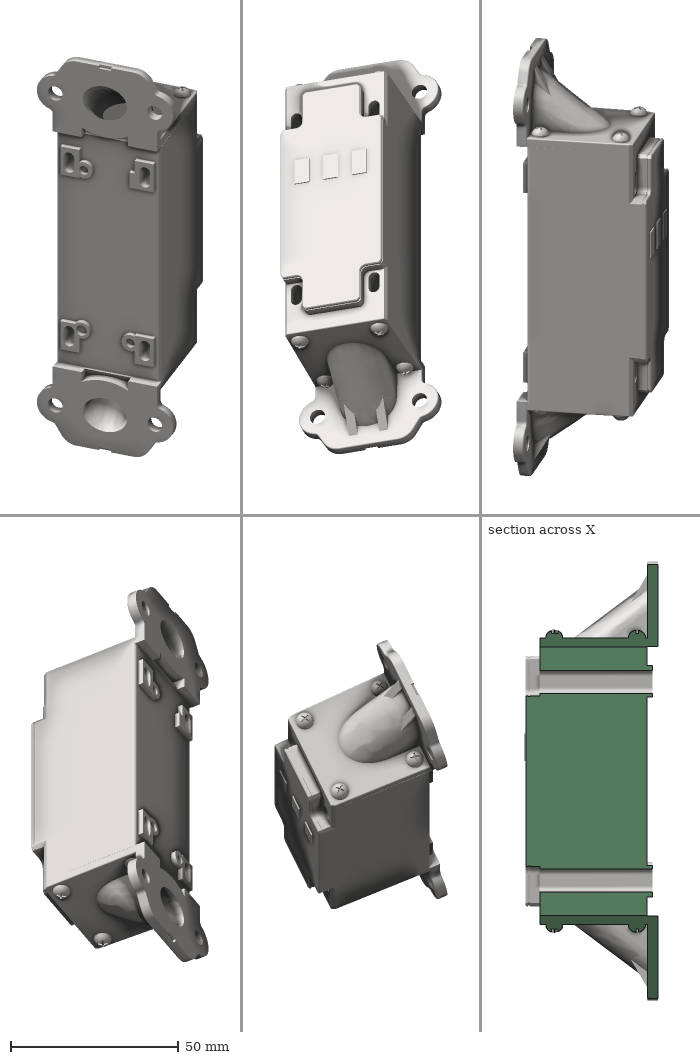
import cadquery as cq
import math

overall_length = 131.3
case_half_length = 40.2
cap_plate_thickness = 2.8
flange_thickness = 3.2
flange_end = overall_length / 2
cap_face = case_half_length + cap_plate_thickness

back_half_width = 16.8
front_half_width = 15.9
back_edge_radius = 0.9
shelf_y = 35.3
front_y = 39.5
draft_per_depth = (back_half_width - front_half_width) / (front_y - flange_thickness)
bevel_width = 0.7
bevel_depth = 1.2

wide_front_half_length = 24.4
narrow_front_half_length = 37.4
narrow_front_half_width = 9.0
narrow_corner_chamfer = 0.9
front_root_radius = 2.0
front_edge_chamfer = 0.3
seam_y = 38.2
seam_width = 0.5
seam_depth = 0.2

label_width = 4.6
label_length = 8.1
label_height = 0.4
label_pitch = 9.0
label_z = 10.1

pad_height = 1.6
pad_outer_x = 15.0
pad_inner_x = 8.9
pad_inner_z = 25.1
pad_outer_z = 34.7
slot_x = 12.2
slot_z = 29.7
slot_length = 6.8
slot_width = 3.4
boss_radius = 2.8
pad_step_x = 7.2
pad_step_z = 30.3
pad_bosses = [(-7.5, 28.0, 1.5), (-8.3, -26.9, 1.7), (7.5, -28.0, 1.5)]

ear_x = 16.0
ear_z = 53.3
ear_radius = 5.9
ear_hole_radius = 2.4
shoulder_z = 58.5
flange_top_half_width = 12.3
shoulder_radius = 5.6
ear_root_radius = 1.6
end_notch_width = 4.0
end_notch_size = 0.9
cap_edge_radius = 0.4

relief_half_width = 7.5
relief_side_z = 43.5
relief_middle_z = 41.6
relief_ramp_start_y = 2.4
relief_ramp_end_y = 4.0

hood_half_width = 8.9
hood_foot_half_width = 9.3
hood_arch_height = 11.2
hood_slope = 0.75
hood_axis_z = 53.3
bore_half_width = 7.1
bore_half_height = 5.6
rib_inner_x = 3.4
rib_outer_x = 6.2
rib_foot_z = 61.7
rib_slope = 1.7
rib_depth = 6.3

screw_radius = 2.6
screw_rim_height = 0.5
screw_head_height = 2.4
recess_length = 2.9
recess_width = 0.5
recess_depth = 1.0
cap_screws = [(-12.5, 31.0, 40), (12.5, 31.0, 25), (-12.5, 6.3, 80), (12.5, 6.3, 30)]

pick_margin = 0.3


def half_width_at(y):
    """Half-width of the drafted case at depth y."""
    return back_half_width - draft_per_depth * (y - flange_thickness)


def box_between(x0, x1, y0, y1, z0, z1):
    return cq.Workplane("XY").box(x1 - x0, y1 - y0, z1 - z0, centered=False).translate((x0, y0, z0))


def symmetric_prism(quarter, y0, y1):
    """Prism along Y whose XZ outline mirrors the +X +Z quarter's points into all four quarters."""
    upper = quarter + [(-x, z) for x, z in reversed(quarter)]
    lower = [(x, -z) for x, z in reversed(upper)]
    return cq.Workplane("XZ", origin=(0, y0, 0)).polyline(upper + lower).close().extrude(y0 - y1)


def shelf_section(back_points):
    """Closed XY section up to the shelf, with the bevelled front corners."""
    bevel_y = shelf_y - bevel_depth
    right = back_points + [
        (half_width_at(bevel_y), bevel_y),
        (half_width_at(bevel_y) - bevel_width, shelf_y),
    ]
    left = [(-x, y) for x, y in reversed(right)]
    return right + left


def housing_core():
    section = cq.Workplane("XY").polyline(shelf_section([(back_half_width, flange_thickness)])).close()
    core = section.extrude(case_half_length, both=True)
    return core.edges("|Z").edges("<Y").fillet(back_edge_radius)


def front_layer(y0, y1, inset=0.0):
    """Slab of the raised front from y0 to y1, shrunk by inset on every side."""
    bevel_z = wide_front_half_length + bevel_depth - inset
    overhang = back_half_width - front_half_width
    wide_quarter = [
        (back_half_width, wide_front_half_length - inset - overhang * bevel_depth / bevel_width),
        (front_half_width - bevel_width, bevel_z),
    ]
    narrow_x = narrow_front_half_width - inset
    narrow_end = narrow_front_half_length - inset
    narrow_quarter = [
        (narrow_x, narrow_end - narrow_corner_chamfer),
        (narrow_x - narrow_corner_chamfer, narrow_end),
    ]
    plan = symmetric_prism(wide_quarter, y0, y1).union(symmetric_prism(narrow_quarter, y0, y1))
    root = cq.selectors.BoxSelector(
        (-narrow_x - pick_margin, y0 - pick_margin, -bevel_z - pick_margin),
        (narrow_x + pick_margin, y1 + pick_margin, bevel_z + pick_margin),
    )
    plan = plan.edges("|Y").edges(root).fillet(front_root_radius)

    x0 = half_width_at(y0) - inset
    x1 = half_width_at(y1) - inset
    drafted = cq.Workplane("XY").polyline([(x0, y0), (x1, y1), (-x1, y1), (-x0, y0)]).close()
    return plan.intersect(drafted.extrude(narrow_front_half_length, both=True))


def raised_front():
    seam_end = seam_y + seam_width
    base = front_layer(shelf_y - bevel_depth, seam_y)
    seam = front_layer(seam_y, seam_end, seam_depth)
    lid = front_layer(seam_end, front_y).faces(">Y").edges().chamfer(front_edge_chamfer)
    return base.union(seam).union(lid)


def labels():
    spots = [(i * label_pitch, label_z) for i in (-1, 0, 1)]
    plates = cq.Workplane("XZ").pushPoints(spots).rect(label_width, label_length)
    return plates.extrude(-label_height).translate((0, front_y, 0))


def mounting_pads():
    back = flange_thickness - pad_height
    front = flange_thickness + back_edge_radius
    pads = box_between(pad_step_x, pad_outer_x, back, front, pad_inner_z, pad_step_z)
    for side in (-1, 1):
        x0, x1 = sorted((side * pad_inner_x, side * pad_outer_x))
        for end in (-1, 1):
            z0, z1 = sorted((end * pad_inner_z, end * pad_outer_z))
            pads = pads.union(box_between(x0, x1, back, front, z0, z1))
    for x, z, _ in pad_bosses:
        boss = cq.Workplane("XZ").center(x, z).circle(boss_radius).extrude(-(front - back))
        pads = pads.union(boss.translate((0, back, 0)))
    return pads


def mounting_slots():
    spots = [(i * slot_x, j * slot_z) for i in (-1, 1) for j in (-1, 1)]
    return cq.Workplane("XZ").pushPoints(spots).slot2D(slot_length, slot_width, 90).extrude(-front_y)


def make_housing():
    body = housing_core().union(raised_front()).union(labels()).union(mounting_pads())
    for x, z, hole_radius in pad_bosses:
        body = body.cut(cq.Workplane("XZ").center(x, z).circle(hole_radius).extrude(-flange_thickness))
    return body.cut(mounting_slots())


def cap_plate():
    section = cq.Workplane("XY").polyline(shelf_section([(back_half_width, 0)])).close()
    plate = section.extrude(cap_plate_thickness)
    plate = plate.faces(">Z").edges("not <Y").fillet(cap_edge_radius)
    return plate.translate((0, 0, case_half_length))


def cap_flange():
    right = [
        (back_half_width, case_half_length),
        (back_half_width, shoulder_z),
        (flange_top_half_width, flange_end),
    ]
    outline = right + [(-x, z) for x, z in reversed(right)]
    ears = [(-ear_x, ear_z), (ear_x, ear_z)]
    flange = cq.Workplane("XZ").polyline(outline).close().extrude(-flange_thickness)
    flange = flange.edges("|Y").edges(">Z").fillet(shoulder_radius)
    flange = flange.union(cq.Workplane("XZ").pushPoints(ears).circle(ear_radius).extrude(-flange_thickness))
    ear_roots = cq.selectors.BoxSelector(
        (-back_half_width - pick_margin, -pick_margin, ear_z - ear_radius - pick_margin),
        (back_half_width + pick_margin, flange_thickness + pick_margin, ear_z + ear_radius + pick_margin),
    )
    flange = flange.edges("|Y").edges(ear_roots).fillet(ear_root_radius)
    flange = flange.faces(">Y").edges("not <Z").fillet(cap_edge_radius)
    return flange.cut(cq.Workplane("XZ").pushPoints(ears).circle(ear_hole_radius).extrude(-flange_thickness))


def flange_end_notch():
    half = end_notch_width / 2
    return box_between(-half, half, 0, end_notch_size, flange_end - end_notch_size, flange_end)


def flange_relief():
    """Pocket at the flange root: a sagging arc above and a ramp for its floor."""
    outline = (
        cq.Workplane("XZ")
        .moveTo(-relief_half_width, case_half_length)
        .lineTo(-relief_half_width, relief_side_z)
        .threePointArc((0, relief_middle_z), (relief_half_width, relief_side_z))
        .lineTo(relief_half_width, case_half_length)
        .close()
        .extrude(-relief_ramp_end_y)
    )
    ramp = (
        cq.Workplane("YZ")
        .polyline([
            (0, case_half_length),
            (relief_ramp_start_y, case_half_length),
            (relief_ramp_end_y, relief_side_z),
            (0, relief_side_z),
        ])
        .close()
        .extrude(relief_half_width, both=True)
    )
    return outline.intersect(ramp)


def hood_axis_y(z):
    """Depth of the sloping hood axis at height z."""
    return (hood_axis_z - z) / hood_slope


def sweep_up_slope(section):
    """Carry an XY section parallel to the hood axis, from the cap's inner face to the level of the flange end."""
    rise = flange_end - case_half_length
    direction = cq.Vector(0, -rise / hood_slope, rise)
    return cq.Workplane(cq.Solid.extrudeLinear(section.wires().val(), [], direction))


def cable_hood():
    axis_y = hood_axis_y(case_half_length)
    arch = cq.Workplane("XY", origin=(0, axis_y, case_half_length))
    dome = sweep_up_slope(arch.ellipse(hood_half_width, hood_arch_height))
    base = sweep_up_slope(
        arch.polyline([
            (-hood_half_width, 0),
            (hood_half_width, 0),
            (hood_foot_half_width, -axis_y),
            (-hood_foot_half_width, -axis_y),
        ]).close()
    )
    keep = box_between(-back_half_width, back_half_width, 0, shelf_y, case_half_length, flange_end)
    return dome.union(base).intersect(keep)


def cable_bore():
    axis_y = hood_axis_y(case_half_length)
    section = cq.Workplane("XY", origin=(0, axis_y, case_half_length))
    return sweep_up_slope(section.ellipse(bore_half_width, bore_half_height / hood_slope))


def hood_ribs():
    rib_low_z = rib_foot_z - rib_slope * rib_depth
    profile = [
        (flange_thickness, rib_foot_z),
        (flange_thickness + rib_depth, rib_low_z),
        (flange_thickness, rib_low_z),
    ]
    rib = cq.Workplane("YZ", origin=(rib_inner_x, 0, 0)).polyline(profile).close()
    rib = rib.extrude(rib_outer_x - rib_inner_x)
    return rib.union(rib.mirror("YZ"))


def screw_head(x, y, turn):
    shoulder = (screw_radius, screw_rim_height)
    dome_height = screw_head_height - screw_rim_height
    dome_radius = (screw_radius**2 + dome_height**2) / (2 * dome_height)
    half_angle = math.asin(screw_radius / dome_radius) / 2
    dome_middle = (
        dome_radius * math.sin(half_angle),
        screw_head_height - dome_radius * (1 - math.cos(half_angle)),
    )
    head = (
        cq.Workplane("XZ")
        .lineTo(screw_radius, 0)
        .lineTo(*shoulder)
        .threePointArc(dome_middle, (0, screw_head_height))
        .close()
        .revolve(360, (0, 0, 0), (0, 1, 0))
    )
    top = cq.Workplane("XY", origin=(0, 0, screw_head_height))
    for angle in (turn, turn + 90):
        slot = top.rect(recess_length, recess_width).extrude(-recess_depth)
        head = head.cut(slot.rotate((0, 0, 0), (0, 0, 1), angle))
    return head.translate((x, y, cap_face))


def make_end_cap():
    """The upper cap, with its screw heads."""
    cap = cap_plate().union(cap_flange()).union(cable_hood()).union(hood_ribs())
    cap = cap.cut(cable_bore()).cut(flange_relief()).cut(flange_end_notch())
    for x, y, turn in cap_screws:
        cap = cap.union(screw_head(x, y, turn))
    return cap


housing = make_housing()
upper_cap = make_end_cap()
end_caps = [upper_cap, upper_cap.mirror("XY")]

result = cq.Compound.makeCompound([housing.val(), *[cap.val() for cap in end_caps]])